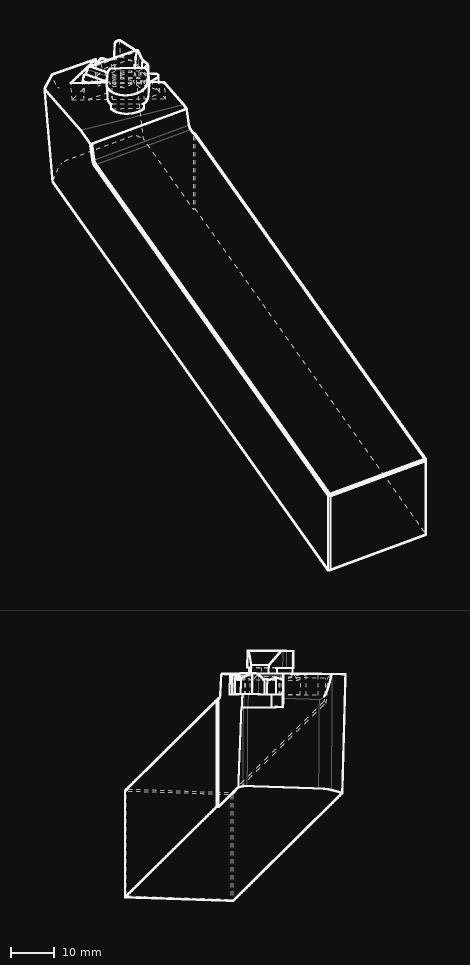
import cadquery as cq
import math

LENGTH = 150.0
WIDTH = 25.0
SHANK_HEIGHT = 25.0
EDGE_CHAMFER = 0.38

HEAD_HEIGHT = 30.0
STEP_TOP_X = 30.8
STEP_FOOT_X = 32.1
STEP_FILLET = 0.9
SIDE_RELIEF = 0.5
SIDE_RELIEF_END_X = 34.0
NOSE_CHAMFER_X = 7.6
NOSE_RADIUS = 4.5
LOWER_FRONT_X = 2.5
FLANK_CORNER_Y = 24.2
FLANK_RADIUS = 1.0
UPPER_FRONT_TOP_X = 3.8
UPPER_FRONT_FOOT_X = 3.6
UPPER_FRONT_FOOT_Z = 19.8

RAKE_START_X = 25.8
SLOPE_X = math.tan(math.radians(10.0))
SLOPE_Y = -0.025

CORNERS = 3
INSERT_X = 8.8
INSERT_Y = 18.8
INSERT_RADIUS = 6.3
INSERT_THICKNESS = 4.8
FLANK_SLOPE = math.tan(math.radians(30.0))
CREST_REACH = INSERT_X * math.hypot(1, SLOPE_X)
CREST_OFFSET = 3.8
CREST_WIDTH = 1.2
CREST_RADIUS = 1.5
NOTCH_REACH = 4.6
NOTCH_END = 0.0
NOTCH_RUNOUT_REACH = 6.3
NOTCH_RUNOUT = -1.8
RAKE_ANGLE = 20.0
WALL_FOOT = 4.8
WALL_BEND = 4.0
WALL_TOP = 3.5
WALL_BEND_DEPTH = 0.6

SEAT_PROJECTION = 0.6
SEAT_DEPTH = 7.8

SEAT_RECESS_X = 5.0
SEAT_RECESS_Y = 15.2
SEAT_RECESS_Z = 18.0

CLAMP_X = 21.8
CLAMP_Y = 14.2
CLAMP_TURN = 150.0
CLAMP_RADIUS = 4.6
CLAMP_HEIGHT = 5.2
CLAMP_SIDE_Y = 20.5
CLAMP_GAP = 1.4
GAP_REAR = -2.7
GAP_FRONT = 6.9
NOSE_TIP = 9.2
NOSE_BEND = 9.0
NOSE_BEND_HEIGHT = 2.0
NOSE_TOP = 5.7
NOSE_BEVEL_X = 4.6
NOSE_BEVEL_SLOPE = 0.55
NOSE_BEVEL_RADIUS = 3.0

TRIM = 60.0
MARGIN = 7.5


def rake_height(x, y):
    """Height of the inclined plane above the point (x, y)."""
    return HEAD_HEIGHT + SLOPE_X * (x - RAKE_START_X) + SLOPE_Y * y


def rake_plane(x, y, turn=0.0):
    """Workplane on the inclined plane over (x, y), turned about its normal."""
    plane = cq.Plane(
        origin=(x, y, rake_height(x, y)),
        xDir=(1, 0, SLOPE_X),
        normal=(-SLOPE_X, -SLOPE_Y, 1),
    )
    return plane.rotated((0, 0, turn))


def edge_near(plane, x, y, z):
    """Selector for the edge closest to a point given in the workplane's own coordinates."""
    return cq.selectors.NearestToPointSelector(plane.toWorldCoords((x, y, z)).toTuple())


def side_profile(plane, points, half_width):
    """Prism whose outline lies in the x-z plane of the given workplane, centred on it."""
    section = cq.Plane(origin=plane.origin, xDir=plane.xDir, normal=-plane.yDir)
    return cq.Workplane(section).polyline(points).close().extrude(half_width, both=True)



def insert_triangle(top, bottom):
    """Triangular prism of the insert between two depths below the inclined plane."""
    return (
        cq.Workplane(rake_plane(INSERT_X, INSERT_Y, 30))
        .workplane(offset=-bottom)
        .polygon(CORNERS, 4 * INSERT_RADIUS)
        .extrude(bottom - top)
    )


def tooth_trim(plane):
    """Material outside the tooth and its notch; the corner points along the plane's -x."""
    crest_start = CREST_OFFSET + CREST_WIDTH / 2
    crest_end = CREST_OFFSET - CREST_WIDTH / 2
    outside_y = 2 * INSERT_RADIUS
    outside_x = -2 * CREST_REACH
    points = [
        (-CREST_REACH + (outside_y - crest_start) / FLANK_SLOPE, outside_y),
        (-CREST_REACH, crest_start),
        (-CREST_REACH, crest_end),
        (-NOTCH_REACH, crest_end - FLANK_SLOPE * (CREST_REACH - NOTCH_REACH)),
        (-NOTCH_REACH, NOTCH_END),
        (-NOTCH_RUNOUT_REACH, NOTCH_RUNOUT),
        (outside_x, NOTCH_RUNOUT),
        (outside_x, outside_y),
    ]
    trim = cq.Workplane(plane).polyline(points).close().extrude(-INSERT_THICKNESS)
    crest_edge = edge_near(plane, -CREST_REACH, crest_end, -INSERT_THICKNESS / 2)
    return trim.edges(crest_edge).fillet(CREST_RADIUS)


def chip_groove(plane):
    """Rake face of one tooth and the wall up to the raised middle."""
    depth = (CREST_REACH - WALL_FOOT) * math.tan(math.radians(RAKE_ANGLE))
    points = [
        (-CREST_REACH, 0),
        (-WALL_FOOT, -depth),
        (-WALL_BEND, -WALL_BEND_DEPTH),
        (-WALL_TOP, 0),
    ]
    return side_profile(plane, points, 2 * INSERT_RADIUS)


def make_insert():
    body = insert_triangle(0, INSERT_THICKNESS)
    for corner in range(CORNERS):
        plane = rake_plane(INSERT_X, INSERT_Y, corner * 360 / CORNERS)
        body = body.cut(tooth_trim(plane)).cut(chip_groove(plane))
    return body



def make_bar():
    """Shank and head as a plain stepped bar with its outer edges broken."""
    outline = [
        (0, 0),
        (LENGTH, 0),
        (LENGTH, SHANK_HEIGHT),
        (STEP_FOOT_X, SHANK_HEIGHT),
        (STEP_TOP_X, HEAD_HEIGHT),
        (0, HEAD_HEIGHT),
    ]
    bar = cq.Workplane("XZ").polyline(outline).close().extrude(-WIDTH)
    step_foot = cq.selectors.NearestToPointSelector((STEP_FOOT_X, WIDTH / 2, SHANK_HEIGHT))
    bar = bar.edges(step_foot).fillet(STEP_FILLET)
    shank_sides = cq.selectors.BoxSelector(
        (LENGTH / 3, -MARGIN, SHANK_HEIGHT - MARGIN),
        (LENGTH * 2 / 3, WIDTH + MARGIN, SHANK_HEIGHT + MARGIN),
    )
    return bar.faces(">X").edges().add(bar.edges(shank_sides)).chamfer(EDGE_CHAMFER)


def nose_prism(front_x):
    """Everything below the inclined plane and behind the faces round the head's front."""
    below = 2 * HEAD_HEIGHT
    far_y = WIDTH + MARGIN
    corner_y = NOSE_CHAMFER_X - front_x
    outline = [
        (front_x, corner_y),
        (front_x, FLANK_CORNER_Y),
        (front_x + (far_y - FLANK_CORNER_Y) / FLANK_SLOPE, far_y),
        (LENGTH, far_y),
        (LENGTH, -MARGIN),
        (NOSE_CHAMFER_X + MARGIN, -MARGIN),
    ]
    plane = rake_plane(0, 0)
    stretch = math.hypot(1, SLOPE_X)
    points = [(x * stretch, y) for x, y in outline]
    prism = cq.Workplane(plane).polyline(points).close().extrude(-below)
    for (x, y), radius in zip(points, (NOSE_RADIUS, FLANK_RADIUS)):
        prism = prism.edges(edge_near(plane, x, y, -below / 2)).fillet(radius)
    return prism


def upper_front_trim():
    """Material ahead of the steeper upper front face."""
    lean = (UPPER_FRONT_TOP_X - UPPER_FRONT_FOOT_X) / (HEAD_HEIGHT - UPPER_FRONT_FOOT_Z)
    foot_x = UPPER_FRONT_FOOT_X
    outline = [
        (-TRIM, UPPER_FRONT_FOOT_Z - TRIM),
        (foot_x - lean * TRIM, UPPER_FRONT_FOOT_Z - TRIM),
        (foot_x + lean * TRIM, UPPER_FRONT_FOOT_Z + TRIM),
        (-TRIM, UPPER_FRONT_FOOT_Z + TRIM),
    ]
    return cq.Workplane("XZ").polyline(outline).close().extrude(TRIM, both=True)


def side_relief():
    """Shallow cut along the +Y side of the head."""
    corner = (0, WIDTH - SIDE_RELIEF, 0)
    return cq.Workplane("XY", origin=corner).box(
        SIDE_RELIEF_END_X, SIDE_RELIEF, HEAD_HEIGHT, centered=False
    )


def seat_recess():
    """Corner cut back from the head's front so that the seat and insert stand clear."""
    corner = (0, SEAT_RECESS_Y, SEAT_RECESS_Z)
    return cq.Workplane("XY", origin=corner).box(
        SEAT_RECESS_X, WIDTH - SEAT_RECESS_Y, HEAD_HEIGHT - SEAT_RECESS_Z, centered=False
    )


def make_seat():
    """Block under the insert, standing slightly proud of the lower front face."""
    block = insert_triangle(INSERT_THICKNESS, SEAT_DEPTH)
    return block.intersect(nose_prism(LOWER_FRONT_X - SEAT_PROJECTION))


def make_clamp():
    """Round-ended finger that bears on the insert and, at its heel, on the head."""
    plane = rake_plane(CLAMP_X, CLAMP_Y, CLAMP_TURN)
    radius = CLAMP_RADIUS
    clamp = (
        cq.Workplane(plane)
        .moveTo(0, -radius)
        .lineTo(NOSE_TIP, -radius)
        .lineTo(NOSE_TIP, radius - NOSE_BEVEL_SLOPE * (NOSE_TIP - NOSE_BEVEL_X))
        .lineTo(NOSE_BEVEL_X, radius)
        .lineTo(0, radius)
        .threePointArc((-radius, 0), (0, -radius))
        .close()
        .extrude(CLAMP_HEIGHT)
    )
    bevel_edge = edge_near(plane, NOSE_BEVEL_X, radius, CLAMP_HEIGHT / 2)
    clamp = clamp.edges(bevel_edge).fillet(NOSE_BEVEL_RADIUS)
    side_outline = [
        (-radius, 0),
        (GAP_REAR, 0),
        (GAP_REAR, CLAMP_GAP),
        (GAP_FRONT, CLAMP_GAP),
        (GAP_FRONT, 0),
        (NOSE_TIP, 0),
        (NOSE_BEND, NOSE_BEND_HEIGHT),
        (NOSE_TOP, CLAMP_HEIGHT),
        (-radius, CLAMP_HEIGHT),
    ]
    clamp = clamp.intersect(side_profile(plane, side_outline, radius))
    side_plane = cq.Workplane("XZ", origin=(0, CLAMP_SIDE_Y, 0))
    flat_trim = side_plane.rect(2 * TRIM, 2 * TRIM).extrude(-TRIM)
    return clamp.cut(flat_trim)


def make_holder():
    holder = make_bar().intersect(nose_prism(LOWER_FRONT_X))
    return (
        holder.cut(upper_front_trim())
        .cut(seat_recess())
        .union(make_seat())
        .cut(side_relief())
        .cut(insert_triangle(0, INSERT_THICKNESS))
        .union(make_clamp())
    )


insert = make_insert()
holder = make_holder()
result = cq.Compound.makeCompound([holder.solids().val(), insert.solids().val()])